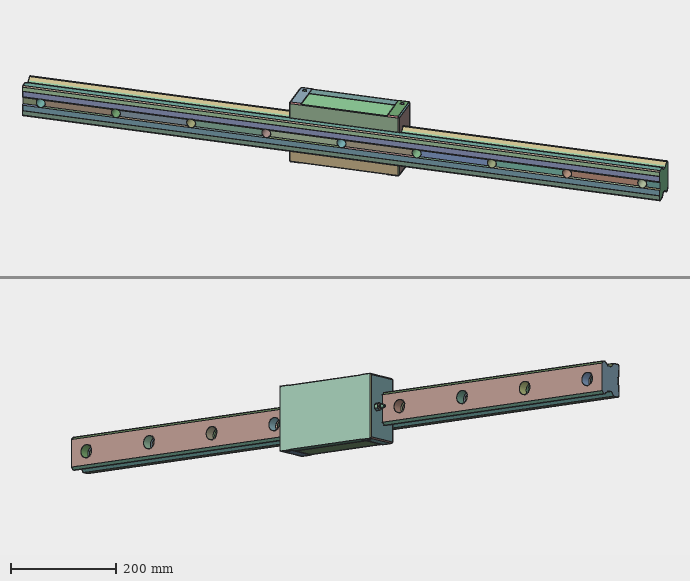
import cadquery as cq

RAIL_LENGTH = 1270.0
RAIL_HEIGHT = 53.0
RAIL_HALF_WIDTH = 32.0
RAIL_TOP_HALF_WIDTH = 27.0
NECK_HALF_WIDTH = 24.0
FOOT_CHAMFER = 3.0
FOOT_HEIGHT = 17.0
NECK_TOP = 34.0
FLANK_RISE = 3.0
HEAD_LOW = 45.0

RELIEF_HALF_WIDTH = 20.0
RELIEF_DEPTH = 0.6
GROOVE_HALF_WIDTH = 9.0
GROOVE_FLOOR_HALF_WIDTH = 6.0
GROOVE_DEPTH = 3.0

HOLE_COUNT = 9
HOLE_PITCH = 150.0
HOLE_DIAMETER = 18.0
COUNTERBORE_DIAMETER = 25.0
COUNTERBORE_DEPTH = 22.0

CARRIAGE_TOP = 90.0
CARRIAGE_BOTTOM = 19.0
CARRIAGE_LENGTH = 220.0
CARRIAGE_WIDTH = 126.0
CARRIAGE_CHAMFER = 3.0
END_LENGTH = 24.0
BAND_HEIGHT = 20.0
BAND_SETBACK = 0.6
PANEL_SETBACK = 1.0

PORT_DIAMETER = 8.0
PORT_DEPTH = 6.0
PORT_DROP = 11.0
PORT_END_DISTANCE = 13.0

NIPPLE_DROP = 18.0
STEM_DIAMETER = 6.0
STEM_DEPTH = 8.0
HEX_ACROSS_CORNERS = 15.0
HEX_LENGTH = 8.0
NIPPLE_NECK_DIAMETER = 6.0
NIPPLE_NECK_LENGTH = 4.0
NIPPLE_HEAD_DIAMETER = 10.0
NIPPLE_TIP_DIAMETER = 5.0
NIPPLE_HEAD_LENGTH = 8.0


def mirrored_profile(upper_points):
    """Close an outline given by its +Z half, as (Y, Z) points, with the mirror image."""
    lower_points = [(y, -z) for y, z in reversed(upper_points)]
    return cq.Workplane("YZ").polyline(upper_points + lower_points).close()


def rail_envelope():
    shoulder = RAIL_HALF_WIDTH - NECK_HALF_WIDTH
    head_chamfer = RAIL_HALF_WIDTH - RAIL_TOP_HALF_WIDTH
    half_outline = [
        (GROOVE_DEPTH, GROOVE_FLOOR_HALF_WIDTH),
        (RELIEF_DEPTH, GROOVE_HALF_WIDTH),
        (RELIEF_DEPTH, RELIEF_HALF_WIDTH),
        (0, RELIEF_HALF_WIDTH),
        (0, RAIL_HALF_WIDTH - FOOT_CHAMFER),
        (FOOT_CHAMFER, RAIL_HALF_WIDTH),
        (FOOT_HEIGHT, RAIL_HALF_WIDTH),
        (FOOT_HEIGHT + shoulder, NECK_HALF_WIDTH),
        (NECK_TOP, NECK_HALF_WIDTH),
        (NECK_TOP + FLANK_RISE, NECK_HALF_WIDTH + FLANK_RISE),
        (HEAD_LOW, RAIL_HALF_WIDTH),
        (RAIL_HEIGHT - head_chamfer, RAIL_HALF_WIDTH),
        (RAIL_HEIGHT, RAIL_TOP_HALF_WIDTH),
    ]
    return mirrored_profile(half_outline).extrude(RAIL_LENGTH / 2, both=True)


def make_rail():
    first_hole = -HOLE_PITCH * (HOLE_COUNT - 1) / 2
    centres = [(first_hole + index * HOLE_PITCH, 0) for index in range(HOLE_COUNT)]
    top_face = cq.Workplane("XZ", origin=(0, RAIL_HEIGHT, 0)).pushPoints(centres)
    holes = top_face.circle(HOLE_DIAMETER / 2).extrude(RAIL_HEIGHT)
    counterbores = top_face.circle(COUNTERBORE_DIAMETER / 2).extrude(COUNTERBORE_DEPTH)
    return rail_envelope().cut(holes).cut(counterbores)


def carriage_envelope():
    height = CARRIAGE_TOP - CARRIAGE_BOTTOM
    middle = (CARRIAGE_TOP + CARRIAGE_BOTTOM) / 2
    box = cq.Workplane("XY", origin=(0, middle, 0)).box(CARRIAGE_LENGTH, height, CARRIAGE_WIDTH)
    return box.faces("<X or >X or <Y").edges().chamfer(CARRIAGE_CHAMFER)


def side_recess(side, bottom, top, depth):
    """Slab that sets back one side (+1 or -1 along Z) of the carriage between its end sections."""
    length = CARRIAGE_LENGTH - 2 * END_LENGTH
    centre = (0, (bottom + top) / 2, side * CARRIAGE_WIDTH / 2)
    return cq.Workplane("XY", origin=centre).box(length, top - bottom, 2 * depth)


def end_ports():
    port_x = CARRIAGE_LENGTH / 2 - PORT_END_DISTANCE
    port_y = CARRIAGE_TOP - PORT_DROP
    centres = [(-port_x, port_y), (port_x, port_y)]
    upper = (
        cq.Workplane("XY", origin=(0, 0, CARRIAGE_WIDTH / 2))
        .pushPoints(centres)
        .circle(PORT_DIAMETER / 2)
        .extrude(-PORT_DEPTH)
    )
    return upper.union(upper.mirror("XY"))


def make_nipple():
    carriage_end = -CARRIAGE_LENGTH / 2
    base = cq.Workplane("YZ", origin=(carriage_end, CARRIAGE_TOP - NIPPLE_DROP, 0))
    stem = base.circle(STEM_DIAMETER / 2).extrude(STEM_DEPTH)
    hexagon = base.transformed(rotate=(0, 0, 90)).polygon(6, HEX_ACROSS_CORNERS).extrude(-HEX_LENGTH)
    neck_length = HEX_LENGTH + NIPPLE_NECK_LENGTH
    neck = base.circle(NIPPLE_NECK_DIAMETER / 2).extrude(-neck_length)
    head = (
        base.workplane(offset=-neck_length)
        .circle(NIPPLE_HEAD_DIAMETER / 2)
        .workplane(offset=-NIPPLE_HEAD_LENGTH)
        .circle(NIPPLE_TIP_DIAMETER / 2)
        .loft()
    )
    return stem.union(hexagon).union(neck).union(head)


def make_carriage(nipple):
    band_bottom = CARRIAGE_TOP - BAND_HEIGHT
    body = carriage_envelope()
    for side in (-1, 1):
        body = body.cut(side_recess(side, band_bottom, CARRIAGE_TOP, BAND_SETBACK))
        body = body.cut(side_recess(side, CARRIAGE_BOTTOM, band_bottom, PANEL_SETBACK))
    return body.cut(end_ports()).cut(rail_envelope()).cut(nipple)


rail = make_rail()
nipple = make_nipple()
carriage = make_carriage(nipple)

result = cq.Compound.makeCompound([rail.val(), carriage.val(), nipple.val()])